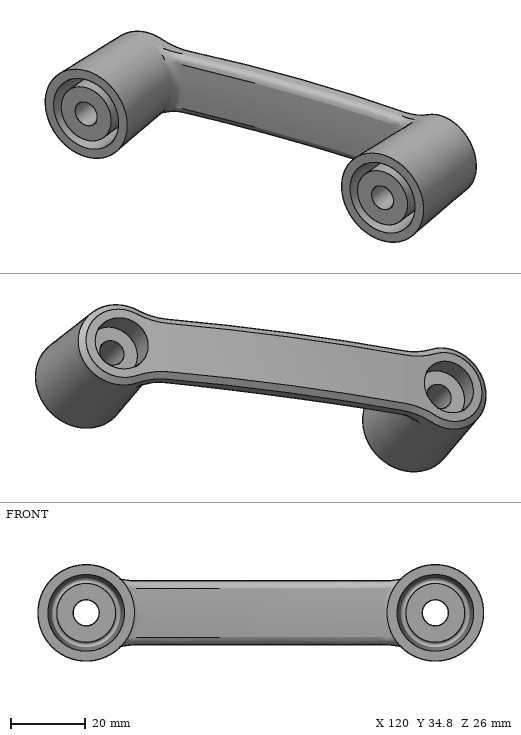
import cadquery as cq
import math

length = 120.0
height = 34.8

base_diameter = 26.0
base_radius = base_diameter / 2
leg_draft = 2.8
leg_x = length / 2 - base_radius
leg_inner_x = leg_x - base_radius
leg_taper = math.tan(math.radians(leg_draft))

crown_rise = 1.8
crown_half = 33.8
crown_radius = (crown_half**2 + crown_rise**2) / (2 * crown_rise)
ramp_slope = crown_half / (crown_radius - crown_rise)
chamfer_width = 1.7
chamfer_drop = 1.2

bar_half_width = 8.6
bar_depth = 6.5
under_y = height - bar_depth
under_radius = 468.0
under_crown = 0.4
side_blend_radius = 20.4
under_edge_radius = 2.2

screw_radius = 3.5
counterbore_radius = 7.3
counterbore_floor = 24.0

groove_outer_radius = 10.3
groove_inner_radius = 7.9
groove_depth = 20.4

margin = 2.4
pick_slack = 0.1
blank_height = height + margin


def leg(x):
    """Solid cone standing on Y = 0, taller than the finished leg."""
    tip_radius = base_radius - blank_height * leg_taper
    cone = cq.Solid.makeCone(base_radius, tip_radius, blank_height, cq.Vector(x, 0, 0), cq.Vector(0, 1, 0))
    return cq.Workplane(cone)


def bar():
    """Bar section revolved about a distant Z axis from leg axis to leg axis, cut flat on top."""
    half_angle = math.degrees(math.asin(leg_x / under_radius))
    axis_y = under_y - under_radius
    top_y = blank_height + margin
    section = (
        cq.Workplane("YZ")
        .moveTo(under_y + under_crown, -bar_half_width)
        .threePointArc((under_y, 0), (under_y + under_crown, bar_half_width))
        .lineTo(top_y, bar_half_width)
        .lineTo(top_y, -bar_half_width)
        .close()
    )
    swept = section.revolve(2 * half_angle, (axis_y, 0), (axis_y, 1))
    centred = swept.rotate((0, axis_y, 0), (0, axis_y, 1), -half_angle)
    return centred.intersect(cq.Workplane("XY").box(length, 2 * blank_height, length))


def space_under_crown():
    """Everything between the mounting faces and the outer face of the grip."""
    end_x = length / 2 + margin
    shoulder_y = height - crown_rise
    end_y = shoulder_y - ramp_slope * (end_x - crown_half)
    return (
        cq.Workplane("XY")
        .moveTo(-end_x, 0)
        .lineTo(-end_x, end_y)
        .lineTo(-crown_half, shoulder_y)
        .threePointArc((0, height), (crown_half, shoulder_y))
        .lineTo(end_x, end_y)
        .lineTo(end_x, 0)
        .close()
        .extrude(2 * base_radius, both=True)
    )


def edges_in_box(body, low, high):
    """Edges that lie wholly inside the box between two corner points."""
    return body.edges(cq.selectors.BoxSelector(low, high, boundingbox=True))


def blend_sides(body):
    """Round the four corners where the flat bar sides run into the legs."""
    corners = body.newObject([])
    for low_x, high_x in ((-leg_x, -leg_inner_x), (leg_inner_x, leg_x)):
        for side_z in (-bar_half_width, bar_half_width):
            low = (low_x, under_y - margin, side_z - pick_slack)
            high = (high_x, blank_height + pick_slack, side_z + pick_slack)
            corners = corners.add(edges_in_box(body, low, high))
    return corners.fillet(side_blend_radius)


def round_underside(body):
    """Round the closed loop of edges around the underside; the fillet needs the leg corners first."""
    low_y = under_y - margin
    high_y = under_y + margin
    rim = body.newObject([])
    for low_x, high_x in ((-leg_x, -leg_inner_x), (leg_inner_x, leg_x), (-leg_x, leg_x)):
        low = (low_x, low_y, -base_radius)
        high = (high_x, high_y, base_radius)
        rim = rim.add(edges_in_box(body, low, high))
    return rim.fillet(under_edge_radius)


def chamfer_crown(body):
    """Chamfer the whole outline of the outer face; it is one smooth chain, so one edge selects it."""
    crown_edge = cq.selectors.NearestToPointSelector((0, height, bar_half_width))
    return body.edges(crown_edge).chamfer(chamfer_drop, chamfer_width)


def bores(x):
    """Screw hole, counterbore and ring groove of one leg, as a solid to cut away."""
    mouth = cq.Workplane("XZ", origin=(x, 0, 0))
    screw = mouth.circle(screw_radius).extrude(-height)
    seat = cq.Workplane("XZ", origin=(x, counterbore_floor, 0))
    counterbore = seat.circle(counterbore_radius).extrude(-height)

    bottom_outer_radius = groove_outer_radius - groove_depth * leg_taper
    bottom_radius = (bottom_outer_radius - groove_inner_radius) / 2
    groove = (
        cq.Workplane("XY", origin=(x, 0, 0))
        .moveTo(groove_inner_radius, 0)
        .lineTo(groove_inner_radius, groove_depth)
        .threePointArc(
            (groove_inner_radius + bottom_radius, groove_depth + bottom_radius),
            (bottom_outer_radius, groove_depth),
        )
        .lineTo(groove_outer_radius, 0)
        .close()
        .revolve(360, (0, 0), (0, 1))
    )
    return screw.union(counterbore).union(groove)


body = bar().union(leg(-leg_x)).union(leg(leg_x))
body = blend_sides(body)
body = body.intersect(space_under_crown())
body = round_underside(body)
body = chamfer_crown(body)
for x in (-leg_x, leg_x):
    body = body.cut(bores(x))
result = body